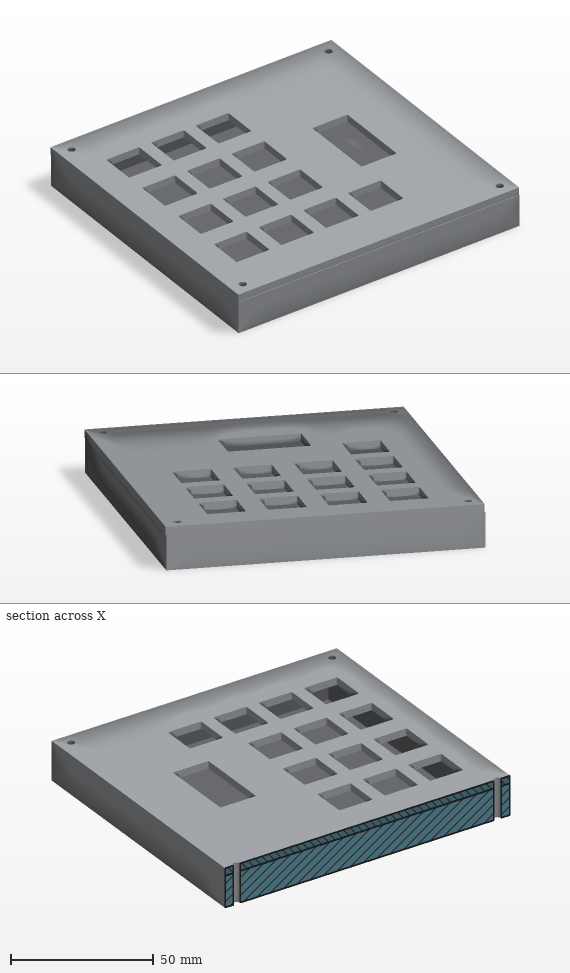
import cadquery as cq

overall_width = 115.6
depth = 120.3
overall_height = 16.0

lid_shift = 0.2
body_width = overall_width - lid_shift
lid_center_x = -lid_shift / 2
case_center_x = lid_shift / 2
lid_thickness = 3.0
case_height = overall_height - lid_thickness

wall = 10.0
floor_thickness = 3.0

screw_diameter = 2.9
screw_spacing_x = 105.1
screw_spacing_y = 110.0
screw_center_x = 0.2
screw_center_y = 0.1

key_size = 14.1
key_corner_radius = 0.5
key_pitch_x = 22.0
key_pitch_y = 19.1
key_columns = 4
key_rows = 3
first_key_x = -33.0
first_key_y = -41.6

display_width = 30.2
display_depth = 15.0
display_center_y = 29.8


def block(width, height, center_x, base_z):
    """Rectangular block of the full depth, standing on base_z."""
    return (
        cq.Workplane("XY", origin=(center_x, 0, base_z))
        .rect(width, depth)
        .extrude(height)
    )


def screw_holes():
    """Four corner cylinders running through the whole height."""
    return (
        cq.Workplane("XY")
        .center(screw_center_x, screw_center_y)
        .rect(screw_spacing_x, screw_spacing_y, forConstruction=True)
        .vertices()
        .circle(screw_diameter / 2)
        .extrude(overall_height)
    )


def key_positions():
    """Centres of the key windows; the last column has one extra key."""
    positions = []
    for column in range(key_columns):
        is_last = column == key_columns - 1
        rows = key_rows + 1 if is_last else key_rows
        for row in range(rows):
            x = first_key_x + column * key_pitch_x
            y = first_key_y + row * key_pitch_y
            positions.append((x, y))
    return positions


def key_windows():
    """Square windows with rounded corners, through the lid."""
    return (
        cq.Workplane("XY", origin=(0, 0, case_height))
        .pushPoints(key_positions())
        .rect(key_size, key_size)
        .extrude(lid_thickness)
        .edges("|Z")
        .fillet(key_corner_radius)
    )


def display_window():
    """Sharp-cornered rectangular window through the lid."""
    return (
        cq.Workplane("XY", origin=(lid_center_x, display_center_y, case_height))
        .rect(display_width, display_depth)
        .extrude(lid_thickness)
    )


def make_case():
    """Open-topped box with thick walls that carry the screw holes."""
    cavity = (
        cq.Workplane("XY", origin=(case_center_x, 0, floor_thickness))
        .rect(body_width - 2 * wall, depth - 2 * wall)
        .extrude(case_height - floor_thickness)
    )
    return block(body_width, case_height, case_center_x, 0).cut(cavity).cut(screw_holes())


def make_lid():
    """Flat plate with the key, display and screw openings."""
    plate = block(body_width, lid_thickness, lid_center_x, case_height)
    return plate.cut(key_windows()).cut(display_window()).cut(screw_holes())


case = make_case()
lid = make_lid()

result = cq.Compound.makeCompound([case.val(), lid.val()])